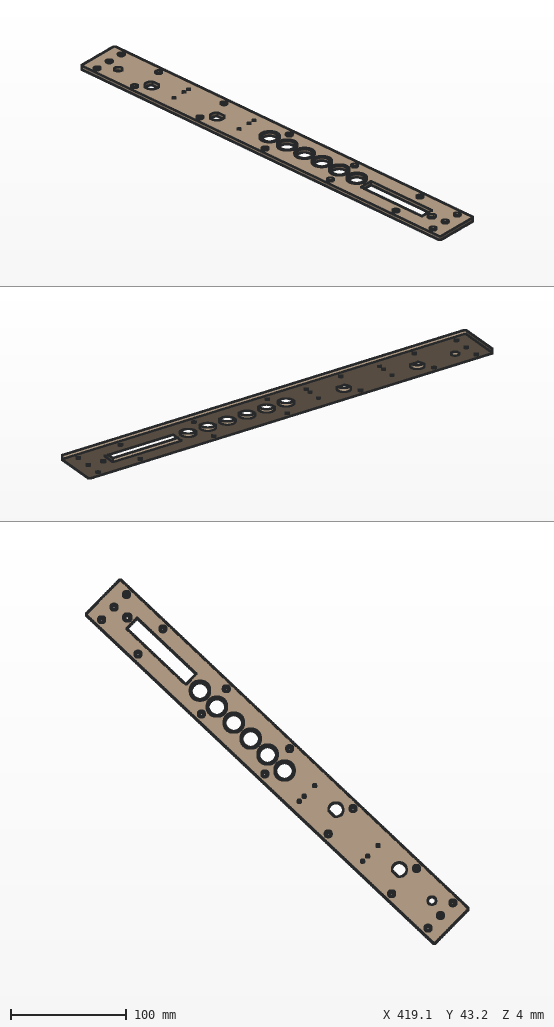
import cadquery as cq
import math

LENGTH = 419.1
WIDTH = 43.18
THICKNESS = 4.0
CORNER_RADIUS = 1.3

COUNTERSINK_ANGLE = 90

SCREW_DIAMETER = 3.25
SCREW_HEAD_DIAMETER = 6.1
SCREW_COLUMNS = 5
SCREW_PITCH = 76.2
SCREW_ROW_Y = 15.5
END_SCREW_X = 196.1

CONTROL_X = -142.24
SHAFT_DIAMETER = 12.7
SHAFT_Y = -4.6
SHAFT_FLAT_HEIGHT = 5.0
PIN_DIAMETER = 2.64
PIN_OFFSET_X = 27.94
PIN_Y = (12.1, 5.9, -7.1)

LEFT_HOLE_DIAMETER = 7.2
LEFT_HOLE_X = -181.6
LEFT_HOLE_Y = -4.4

BUTTON_COUNT = 6
BUTTON_PITCH = 20.32
BUTTON_X = -10.16
BUTTON_Y = 1.47
BUTTON_DIAMETER = 14.6
BUTTON_RIM_DIAMETER = 17.78
BUTTON_RIM_DEPTH = 0.5

WINDOW_LENGTH = 71.12
WINDOW_HEIGHT = 13.0
WINDOW_X = 139.7
WINDOW_Y = -0.6

SENSOR_X = 181.5
SENSOR_Y = -1.4
SENSOR_DIAMETER = 3.92
SENSOR_SINK_DIAMETER = 7.36


def top_plane(part):
    """Workplane on the top face, centred on the plate."""
    return part.faces(">Z").workplane(origin=(0, 0, THICKNESS))


def make_plate():
    plate = cq.Workplane("XY").box(LENGTH, WIDTH, THICKNESS, centered=(True, True, False))
    return plate.edges("|Z").fillet(CORNER_RADIUS)


def cut_screw_holes(part):
    half_count = SCREW_COLUMNS // 2
    columns = [i * SCREW_PITCH for i in range(-half_count, half_count + 1)]
    points = [(x, y) for x in columns for y in (-SCREW_ROW_Y, SCREW_ROW_Y)]
    points += [(x, y) for x in (-END_SCREW_X, END_SCREW_X) for y in (-SCREW_ROW_Y, 0, SCREW_ROW_Y)]
    return top_plane(part).pushPoints(points).cskHole(SCREW_DIAMETER, SCREW_HEAD_DIAMETER, COUNTERSINK_ANGLE)


def cut_control(part, x):
    """Cut one flatted shaft hole centred at x and its column of pin holes."""
    radius = SHAFT_DIAMETER / 2
    half_flat = math.sqrt(radius**2 - SHAFT_FLAT_HEIGHT**2)
    shaft = (
        cq.Workplane("XY")
        .moveTo(x - half_flat, SHAFT_Y + SHAFT_FLAT_HEIGHT)
        .threePointArc((x, SHAFT_Y - radius), (x + half_flat, SHAFT_Y + SHAFT_FLAT_HEIGHT))
        .close()
        .extrude(THICKNESS)
    )
    pins = [(x + PIN_OFFSET_X, y) for y in PIN_Y]
    return top_plane(part.cut(shaft)).pushPoints(pins).hole(PIN_DIAMETER)


def cut_left_hole(part):
    return top_plane(part).pushPoints([(LEFT_HOLE_X, LEFT_HOLE_Y)]).hole(LEFT_HOLE_DIAMETER)


def cut_buttons(part):
    points = [(BUTTON_X + i * BUTTON_PITCH, BUTTON_Y) for i in range(BUTTON_COUNT)]
    holes = top_plane(part).pushPoints(points)
    return holes.cboreHole(BUTTON_DIAMETER, BUTTON_RIM_DIAMETER, BUTTON_RIM_DEPTH)


def cut_window(part):
    window = top_plane(part).center(WINDOW_X, WINDOW_Y)
    return window.rect(WINDOW_LENGTH, WINDOW_HEIGHT).cutThruAll()


def cut_sensor_hole(part):
    hole = top_plane(part).pushPoints([(SENSOR_X, SENSOR_Y)])
    return hole.cskHole(SENSOR_DIAMETER, SENSOR_SINK_DIAMETER, COUNTERSINK_ANGLE)


result = make_plate()
result = cut_screw_holes(result)
for control_x in (CONTROL_X, CONTROL_X + SCREW_PITCH):
    result = cut_control(result, control_x)
result = cut_left_hole(result)
result = cut_buttons(result)
result = cut_window(result)
result = cut_sensor_hole(result)